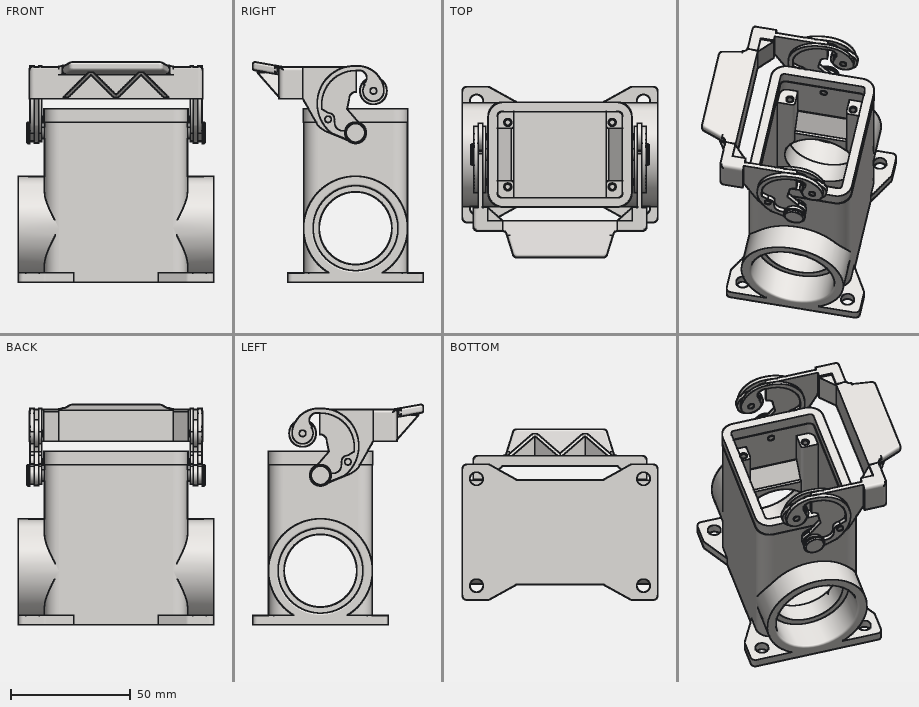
import cadquery as cq
import math


BODY_X, BODY_Y = 60.0, 43.6
BODY_CORNER_R = 6.1
BODY_TOP = 72.8
COLLAR_BOTTOM = 67.1
COLLAR_STEP = 0.2

CAVITY_X, CAVITY_Y = 52.4, 36.0
CAVITY_CORNER_R = 1.6
FLOOR_Z = 4.0
LOWER_CAVITY_RELIEF = 0.3
LOWER_CAVITY_CORNER_R = 3.0

ENTRY_LENGTH = 82.0
ENTRY_Z = 22.7
ENTRY_R = BODY_Y / 2
ENTRY_BORE_R = 15.2
ENTRY_SOCKET_R = 17.8
ENTRY_SOCKET_DEPTH = 13.2
ENTRY_LIP_R = 0.9

FLANGE_X, FLANGE_Y = ENTRY_LENGTH, 57.0
FLANGE_T = 4.0
FLANGE_CORNER_R = 2.0
FLANGE_TAPER_START_X = 29.9
FLANGE_TAPER_END_X = 18.3
FLANGE_TAPER_NOSE = 0.6
MOUNT_HOLE_D = 5.5
MOUNT_HOLE_X, MOUNT_HOLE_Y = 35.0, 22.4

WALL_OVERLAP = 1.0

POST_TOP = 60.9
POST_INNER_X = 19.3
POST_INNER_Y = 11.0
POST_CORNER_R = 1.2
POST_HOLE_X, POST_HOLE_Y = 21.9, 13.5
POST_HOLE_D, POST_HOLE_DEPTH = 2.4, 12.0
POST_HOLE_CHAMFER = 0.4
LEDGE_SLOPE_START_X = POST_INNER_X + POST_CORNER_R
LEDGE_LOW_Z, LEDGE_HIGH_Z = 40.0, 46.5

HOOK_INNER_X = 31.05
PLATE_INNER_X = 32.4
PLATE_OUTER_X = 34.3
HOOK_OUTER_X = 36.15
PIVOT_Z = 62.7
PIVOT_PLATE_R, PIVOT_HOOK_R = 4.3, 3.8
PIVOT_PIN_R = 2.4
PIVOT_HEAD_R, PIVOT_HEAD_X, PIVOT_HEAD_CHAMFER = 4.5, 37.5, 0.6
PIVOT_SEAT_R, PIVOT_SEAT_DEPTH = 1.4, 0.3
HOOK_ARC_Z = 74.6
HOOK_OUTER_R, HOOK_INNER_R = 16.2, 14.2
HOOK_TAPER = 0.5
ROLLER_Y, ROLLER_Z = 7.5, 80.3
ROLLER_R, ROLLER_HOOK_R = 5.7, 4.4
RIVET_Y, RIVET_Z = -11.5, 68.35
RIVET_BOSS_R = 2.7
RIVET_R, RIVET_PROUD = 1.35, 0.35

BAIL_HALF_X = 36.4
BAIL_INNER_HALF_X = 30.4
BAIL_BOTTOM, BAIL_TOP = 76.9, 90.4
BAIL_REAR_Y, BAIL_INNER_Y, BAIL_FRONT_Y = -22.1, -27.7, -32.1
BAIL_CORNER_R = 2.0
BAIL_SIDE_EDGE_R, BAIL_FRONT_EDGE_R = 1.5, 0.8
GUSSET_HALF_X = 24.0
GUSSET_TOP = 89.4

LIP_ANGLE = 10.0
LIP_ROOT_HALF_X, LIP_TIP_HALF_X = 22.3, 19.4
LIP_TIP_Y = -43.2
LIP_TOP_Z = 92.42
LIP_T = 3.6
LIP_CORNER_R, LIP_EDGE_R = 1.8, 1.1
LIP_SHOULDER_HALF_X = 24.0
LIP_ROOT_BLEND = 1.7
LIP_SLOPE = math.radians(LIP_ANGLE)
LIP_SHARP_TIP_Z = LIP_TOP_Z + LIP_EDGE_R * (math.tan(LIP_SLOPE) + 1 / math.cos(LIP_SLOPE) - 1)

RIB_PITCH_X = 10.5
RIB_LOW_Z, RIB_HIGH_Z = 77.6, 88.0
RIB_T = 1.5


def box(x0, x1, y0, y1, z0, z1):
    return cq.Workplane("XY").box(x1 - x0, y1 - y0, z1 - z0, centered=False).translate((x0, y0, z0))


def rounded_block(size_x, size_y, radius, z0, z1):
    block = cq.Workplane("XY").workplane(offset=z0).rect(size_x, size_y).extrude(z1 - z0)
    return block.edges("|Z").fillet(radius)


def x_cylinder(y, z, radius, x0, x1):
    return cq.Workplane("YZ", origin=(x0, 0, 0)).center(y, z).circle(radius).extrude(x1 - x0)


def both_sides(solid):
    return solid.union(solid.mirror("YZ"))


def flange():
    half_x, half_y = FLANGE_X / 2, FLANGE_Y / 2
    quarter_ear = [
        (0, 0),
        (half_x, 0),
        (half_x, half_y),
        (FLANGE_TAPER_START_X, half_y),
        (FLANGE_TAPER_END_X, BODY_Y / 2 + FLANGE_TAPER_NOSE / 2),
        (FLANGE_TAPER_END_X - FLANGE_TAPER_NOSE, BODY_Y / 2),
        (0, BODY_Y / 2),
    ]
    quarter = cq.Workplane("XY").polyline(quarter_ear).close().extrude(FLANGE_T)
    half = quarter.union(quarter.mirror("XZ"))
    plate = both_sides(half)
    plate = plate.edges("|Z").edges("<Y or >Y").fillet(FLANGE_CORNER_R)
    holes = (
        cq.Workplane("XY")
        .rect(2 * MOUNT_HOLE_X, 2 * MOUNT_HOLE_Y, forConstruction=True)
        .vertices()
        .circle(MOUNT_HOLE_D / 2)
        .extrude(FLANGE_T)
    )
    return plate, holes


def outer_housing():
    body = rounded_block(BODY_X, BODY_Y, BODY_CORNER_R, 0, BODY_TOP)
    collar = rounded_block(
        BODY_X + 2 * COLLAR_STEP,
        BODY_Y + 2 * COLLAR_STEP,
        BODY_CORNER_R,
        COLLAR_BOTTOM,
        BODY_TOP,
    )
    entry = x_cylinder(0, ENTRY_Z, ENTRY_R, -ENTRY_LENGTH / 2, ENTRY_LENGTH / 2)
    plate, holes = flange()
    return body.union(collar).union(entry).union(plate).cut(holes)


def cavity():
    upper = rounded_block(CAVITY_X, CAVITY_Y, CAVITY_CORNER_R, COLLAR_BOTTOM, BODY_TOP)
    lower = rounded_block(
        CAVITY_X + 2 * LOWER_CAVITY_RELIEF,
        CAVITY_Y + 2 * LOWER_CAVITY_RELIEF,
        LOWER_CAVITY_CORNER_R,
        FLOOR_Z,
        COLLAR_BOTTOM,
    )
    return upper.union(lower)


def posts_and_ledges():
    wall_x = CAVITY_X / 2 + WALL_OVERLAP
    wall_y = CAVITY_Y / 2 + WALL_OVERLAP
    post = box(POST_INNER_X, wall_x, POST_INNER_Y, wall_y, FLOOR_Z, POST_TOP)
    post = post.edges("|Z and <X and <Y").fillet(POST_CORNER_R)
    hole = cq.Workplane("XY", origin=(POST_HOLE_X, POST_HOLE_Y, POST_TOP)).circle(POST_HOLE_D / 2)
    drill = hole.extrude(-POST_HOLE_DEPTH)
    countersink = drill.faces(">Z").workplane().circle(POST_HOLE_D / 2 + POST_HOLE_CHAMFER)
    countersink = countersink.extrude(-POST_HOLE_CHAMFER, combine=False, taper=45)
    post = post.cut(drill).cut(countersink)
    ledge_profile = [
        (wall_x, FLOOR_Z),
        (POST_INNER_X, FLOOR_Z),
        (POST_INNER_X, LEDGE_LOW_Z),
        (LEDGE_SLOPE_START_X, LEDGE_LOW_Z),
        (CAVITY_X / 2, LEDGE_HIGH_Z),
        (wall_x, LEDGE_HIGH_Z),
    ]
    ledge = cq.Workplane("XZ").polyline(ledge_profile).close().extrude(POST_INNER_Y, both=True)
    return both_sides(post.union(post.mirror("XZ")).union(ledge))


def entry_bores():
    half = ENTRY_LENGTH / 2
    bore = x_cylinder(0, ENTRY_Z, ENTRY_BORE_R, -half, half)
    arc_offset = ENTRY_LIP_R * (1 - math.sqrt(0.5))
    socket = (
        cq.Workplane("XY")
        .moveTo(half, 0)
        .lineTo(half, ENTRY_SOCKET_R + ENTRY_LIP_R)
        .threePointArc(
            (half - arc_offset, ENTRY_SOCKET_R + arc_offset),
            (half - ENTRY_LIP_R, ENTRY_SOCKET_R),
        )
        .lineTo(half - ENTRY_SOCKET_DEPTH, ENTRY_SOCKET_R)
        .lineTo(half - ENTRY_SOCKET_DEPTH, 0)
        .close()
        .revolve(360, (0, 0, 0), (1, 0, 0))
        .translate((0, 0, ENTRY_Z))
    )
    return bore.union(both_sides(socket))


def housing():
    shell = outer_housing().cut(cavity()).union(posts_and_ledges())
    wall_x = CAVITY_X / 2 + LOWER_CAVITY_RELIEF
    seat = x_cylinder(0, PIVOT_Z, PIVOT_SEAT_R, CAVITY_X / 2, wall_x + PIVOT_SEAT_DEPTH)
    return shell.cut(entry_bores()).cut(both_sides(seat))


def on_hook_arc(radius, angle):
    a = math.radians(angle)
    return (radius * math.cos(a), HOOK_ARC_Z + radius * math.sin(a))


def middle_plate():
    """Arm plate from the bail down to the pivot, on the +X side."""
    outline = (
        cq.Workplane("YZ", origin=(PLATE_INNER_X, 0, 0))
        .moveTo(BAIL_REAR_Y - 1, BAIL_TOP)
        .lineTo(0.4, BAIL_TOP)
        .lineTo(0.4, 79.8)
        .threePointArc((-1.7, 79.1), (-2.6, 76.9))
        .lineTo(-3.5, 72.6)
        .lineTo(1.2, 67.2)
        .lineTo(0, PIVOT_Z)
        .lineTo(-1.8, PIVOT_Z - PIVOT_HOOK_R)
        .lineTo(-10.2, 62.4)
        .threePointArc((-13.3, 63.8), (-15.8, 65.8))
        .lineTo(BAIL_REAR_Y, BAIL_BOTTOM)
        .lineTo(BAIL_REAR_Y - 1, BAIL_BOTTOM)
        .close()
        .extrude(PLATE_OUTER_X - PLATE_INNER_X)
    )
    pivot_eye = x_cylinder(0, PIVOT_Z, PIVOT_PLATE_R, PLATE_INNER_X, PLATE_OUTER_X)
    roller = x_cylinder(ROLLER_Y, ROLLER_Z, ROLLER_R, PLATE_INNER_X, PLATE_OUTER_X)
    return outline.union(pivot_eye).union(roller)


def hook_plate(x0, x1):
    """Hooked plate from the pivot, past the rivet and over to the roller."""
    band = (
        cq.Workplane("YZ", origin=(x0, 0, 0))
        .moveTo(0, PIVOT_Z)
        .lineTo(-1.8, PIVOT_Z - PIVOT_HOOK_R + 0.3)
        .lineTo(*on_hook_arc(HOOK_OUTER_R - HOOK_TAPER, 230))
        .threePointArc(on_hook_arc(HOOK_OUTER_R, 160), on_hook_arc(HOOK_OUTER_R, 90))
        .threePointArc((7.5, 88.6), (ROLLER_Y + ROLLER_HOOK_R, ROLLER_Z + 0.7))
        .lineTo(ROLLER_Y, ROLLER_Z)
        .lineTo(3.3, 83.2)
        .threePointArc((4.6, 86.4), (1.2, on_hook_arc(HOOK_INNER_R, 90)[1]))
        .lineTo(*on_hook_arc(HOOK_INNER_R, 90))
        .threePointArc(on_hook_arc(HOOK_INNER_R, 140), on_hook_arc(HOOK_INNER_R, 188))
        .lineTo(RIVET_Y, RIVET_Z + RIVET_BOSS_R)
        .lineTo(RIVET_Y + RIVET_BOSS_R, RIVET_Z - 1)
        .threePointArc((-7.8, 64.6), (-4.5, 63.6))
        .close()
        .extrude(x1 - x0)
    )
    pivot_eye = x_cylinder(0, PIVOT_Z, PIVOT_HOOK_R, x0, x1)
    roller_eye = x_cylinder(ROLLER_Y, ROLLER_Z, ROLLER_HOOK_R, x0, x1)
    rivet_boss = x_cylinder(RIVET_Y, RIVET_Z, RIVET_BOSS_R, x0, x1)
    return band.union(pivot_eye).union(roller_eye).union(rivet_boss)


def lever_arm():
    arm = middle_plate()
    arm = arm.union(hook_plate(HOOK_INNER_X, PLATE_INNER_X))
    arm = arm.union(hook_plate(PLATE_OUTER_X, HOOK_OUTER_X))
    for y, z in [(RIVET_Y, RIVET_Z), (ROLLER_Y, ROLLER_Z)]:
        arm = arm.union(x_cylinder(y, z, RIVET_R, HOOK_INNER_X - RIVET_PROUD, HOOK_INNER_X))
        arm = arm.cut(x_cylinder(y, z, RIVET_R, HOOK_OUTER_X - RIVET_PROUD, HOOK_OUTER_X))
    pin = x_cylinder(0, PIVOT_Z, PIVOT_PIN_R, BODY_X / 2 - WALL_OVERLAP, HOOK_OUTER_X)
    head = x_cylinder(0, PIVOT_Z, PIVOT_HEAD_R, HOOK_OUTER_X, PIVOT_HEAD_X)
    head = head.faces(">X").chamfer(PIVOT_HEAD_CHAMFER)
    return arm.union(pin).union(head)


def lip_top_z(y):
    """Height of the lip's sloping top plane, before its tip edge is rounded."""
    return LIP_SHARP_TIP_Z - (y - LIP_TIP_Y) * math.tan(LIP_SLOPE)


def bail():
    blank = box(-BAIL_HALF_X, BAIL_HALF_X, BAIL_FRONT_Y, BAIL_REAR_Y, BAIL_BOTTOM, BAIL_TOP)
    side_rounded = blank.edges("|Y and >Z").fillet(BAIL_SIDE_EDGE_R)
    front_rounded = blank.edges("|Z").edges("<Y").fillet(BAIL_CORNER_R)
    front_rounded = front_rounded.faces("<Y").edges(">Z").fillet(BAIL_FRONT_EDGE_R)
    bar = side_rounded.intersect(front_rounded)
    bar = bar.cut(
        box(-BAIL_INNER_HALF_X, BAIL_INNER_HALF_X, BAIL_INNER_Y, BAIL_REAR_Y, BAIL_BOTTOM, BAIL_TOP)
    )
    gusset_outline = [
        (BAIL_INNER_HALF_X, BAIL_REAR_Y),
        (GUSSET_HALF_X, BAIL_INNER_Y),
        (BAIL_INNER_HALF_X, BAIL_INNER_Y),
    ]
    gusset = cq.Workplane("XY", origin=(0, 0, BAIL_BOTTOM)).polyline(gusset_outline).close()
    bar = bar.union(both_sides(gusset.extrude(GUSSET_TOP - BAIL_BOTTOM)))
    relief_profile = [
        (BAIL_FRONT_Y, lip_top_z(BAIL_FRONT_Y)),
        (BAIL_INNER_Y, lip_top_z(BAIL_INNER_Y)),
        (BAIL_INNER_Y, LIP_TOP_Z),
        (BAIL_FRONT_Y, LIP_TOP_Z),
    ]
    relief = cq.Workplane("YZ").polyline(relief_profile).close()
    return bar.cut(relief.extrude(LIP_SHOULDER_HALF_X, both=True))


def lip():
    root_y = BAIL_FRONT_Y - LIP_ROOT_BLEND
    slab_profile = [
        (BAIL_INNER_Y, lip_top_z(BAIL_INNER_Y)),
        (LIP_TIP_Y, LIP_SHARP_TIP_Z),
        (LIP_TIP_Y, LIP_SHARP_TIP_Z - LIP_T),
        (BAIL_INNER_Y, lip_top_z(BAIL_INNER_Y) - LIP_T),
    ]
    slab = cq.Workplane("YZ").polyline(slab_profile).close().extrude(LIP_SHOULDER_HALF_X, both=True)
    height = LIP_TOP_Z - BAIL_BOTTOM

    side_slope = (LIP_ROOT_HALF_X - LIP_TIP_HALF_X) / (root_y - LIP_TIP_Y)
    back_half_x = LIP_ROOT_HALF_X + side_slope * (BAIL_INNER_Y - root_y)
    blade_outline = [
        (-back_half_x, BAIL_INNER_Y),
        (back_half_x, BAIL_INNER_Y),
        (LIP_TIP_HALF_X, LIP_TIP_Y),
        (-LIP_TIP_HALF_X, LIP_TIP_Y),
    ]
    blade = cq.Workplane("XY", origin=(0, 0, BAIL_BOTTOM)).polyline(blade_outline).close()
    blade = blade.extrude(2 * height).edges("|Z and <Y").fillet(LIP_CORNER_R)
    blade = slab.intersect(blade).faces("<Y").edges().fillet(LIP_EDGE_R)

    blend_mid = LIP_ROOT_BLEND * (1 - math.sqrt(0.5))
    shoulder = (
        cq.Workplane("XY", origin=(0, 0, BAIL_BOTTOM))
        .moveTo(0, BAIL_INNER_Y)
        .lineTo(LIP_SHOULDER_HALF_X, BAIL_INNER_Y)
        .lineTo(LIP_SHOULDER_HALF_X, BAIL_FRONT_Y)
        .threePointArc((LIP_ROOT_HALF_X + blend_mid, BAIL_FRONT_Y - blend_mid), (LIP_ROOT_HALF_X, root_y))
        .lineTo(0, root_y)
        .close()
        .extrude(2 * height)
    )
    return blade.union(slab.intersect(both_sides(shoulder)))


def zigzag_ribs():
    sheets = cq.Workplane("XY")
    half_width = RIB_T / math.sqrt(2)
    for index in range(-2, 2):
        x0 = index * RIB_PITCH_X
        x1 = x0 + RIB_PITCH_X
        z0, z1 = (RIB_LOW_Z, RIB_HIGH_Z) if index % 2 == 0 else (RIB_HIGH_Z, RIB_LOW_Z)
        stroke = [(x0 - half_width, z0), (x0 + half_width, z0), (x1 + half_width, z1), (x1 - half_width, z1)]
        sheet = cq.Workplane("XZ", origin=(0, BAIL_FRONT_Y + 1, 0)).polyline(stroke).close()
        sheets = sheets.union(sheet.extrude(BAIL_FRONT_Y + 1 - LIP_TIP_Y))
    web_profile = [
        (BAIL_FRONT_Y + 1, RIB_LOW_Z),
        (BAIL_FRONT_Y, RIB_LOW_Z),
        (LIP_TIP_Y + LIP_EDGE_R, RIB_HIGH_Z + 1),
        (BAIL_FRONT_Y + 1, RIB_HIGH_Z + 1),
    ]
    web = cq.Workplane("YZ").polyline(web_profile).close().extrude(LIP_SHOULDER_HALF_X, both=True)
    return sheets.intersect(web)


result = housing().union(both_sides(lever_arm())).union(bail()).union(lip()).union(zigzag_ribs())